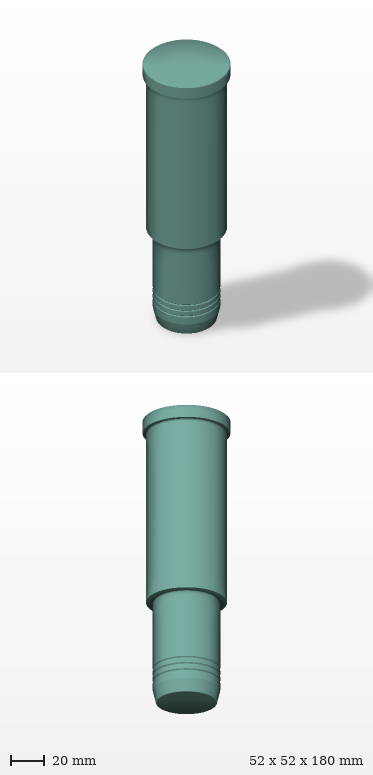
import cadquery as cq

total_length = 180.0
head_diameter = 52.0
head_height = 8.0
head_chamfer = 0.5
body_diameter = 48.0
shoulder_height = 64.0
shank_diameter = 40.0

nose_height = 8.0
nose_inset = 2.0
nose_edge_radius = 0.5

undercut_width = 1.0
undercut_depth = 0.5

groove_count = 3
first_groove_height = 13.5
groove_pitch = 4.0
groove_width = 1.0
groove_depth = 0.5


def cylinder(diameter, bottom, top):
    """Solid cylinder on the Z axis between two heights."""
    return cq.Workplane("XY").workplane(offset=bottom).circle(diameter / 2).extrude(top - bottom)


def ring_cutter(points):
    """Revolve a closed (radius, height) outline around the Z axis."""
    return cq.Workplane("XZ").polyline(points).close().revolve(360, (0, 0, 0), (0, 1, 0))


def head_undercut():
    """Relief groove below the head, with a straight floor and a sloping lower wall."""
    radius = body_diameter / 2
    floor_radius = radius - undercut_depth
    bottom = head_bottom - undercut_width
    return ring_cutter([
        (floor_radius, head_bottom),
        (radius, head_bottom),
        (radius, bottom),
        (floor_radius, bottom + undercut_depth),
    ])


def shoulder_undercut():
    """Relief that narrows the shank in a single slope up to the shoulder."""
    radius = shank_diameter / 2
    return ring_cutter([
        (radius - undercut_depth, shoulder_height),
        (radius, shoulder_height),
        (radius, shoulder_height - undercut_width),
    ])


def shank_groove(center):
    """V-shaped groove around the shank, centered on the given height."""
    radius = shank_diameter / 2
    return ring_cutter([
        (radius, center - groove_width / 2),
        (radius - groove_depth, center),
        (radius, center + groove_width / 2),
    ])


head_bottom = total_length - head_height
head = cylinder(head_diameter, head_bottom, total_length).faces(">Z").edges().chamfer(head_chamfer)
body = cylinder(body_diameter, shoulder_height, head_bottom)
shank = cylinder(shank_diameter, nose_height, shoulder_height)

shank_radius = shank_diameter / 2
nose = (
    cq.Workplane("XY")
    .circle(shank_radius - nose_inset)
    .workplane(offset=nose_height)
    .circle(shank_radius)
    .loft(ruled=True)
    .faces("<Z")
    .edges()
    .fillet(nose_edge_radius)
)

result = head.union(body).union(shank).union(nose)

result = result.cut(head_undercut())
result = result.cut(shoulder_undercut())

for index in range(groove_count):
    result = result.cut(shank_groove(first_groove_height + index * groove_pitch))